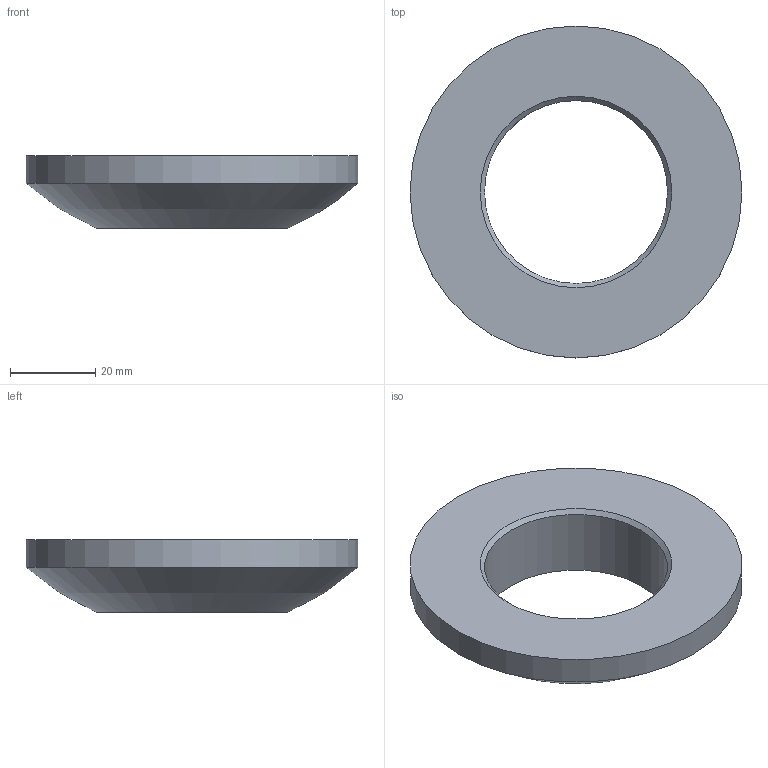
import cadquery as cq
import math

outer_radius = 78.0 / 2
bore_radius = 43.0 / 2
height = 17.0
bore_chamfer = 1.0
seat_sphere_radius = 58.0
seat_inner_radius = 45.0 / 2


def sphere_depth(radius):
    """Drop from the sphere centre to the seat at a given radius from the axis."""
    return math.sqrt(seat_sphere_radius**2 - radius**2)


def seat_point(radius):
    """Point of the spherical seat in the (radius, Z) half-plane."""
    sphere_center_z = sphere_depth(seat_inner_radius)
    return (radius, sphere_center_z - sphere_depth(radius))


def washer_body():
    """Ring with a chamfered bore, a cylindrical rim and a convex spherical underside."""
    seat_middle_radius = (seat_inner_radius + outer_radius) / 2
    profile = (
        cq.Workplane("XZ")
        .moveTo(bore_radius, 0)
        .lineTo(seat_inner_radius, 0)
        .threePointArc(seat_point(seat_middle_radius), seat_point(outer_radius))
        .lineTo(outer_radius, height)
        .lineTo(bore_radius + bore_chamfer, height)
        .lineTo(bore_radius, height - bore_chamfer)
        .close()
    )
    axis_start = (0, 0)
    axis_end = (0, height)
    return profile.revolve(360, axis_start, axis_end)


result = washer_body()